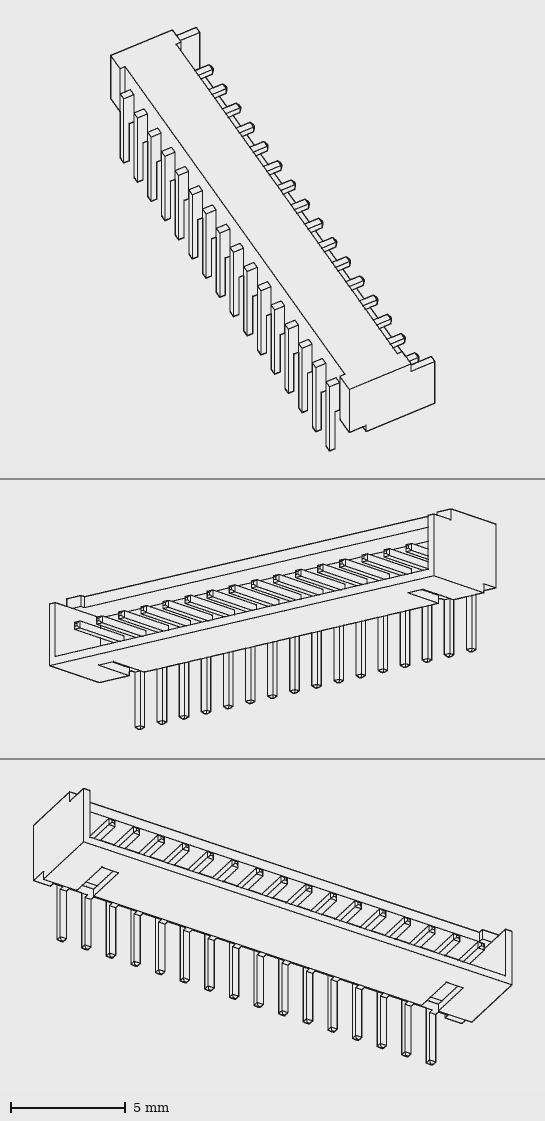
import cadquery as cq


pin_count = 16
pitch = 1.25
pin_width = 0.32
leg_thickness = 0.28
blade_height = 0.32
pin_top_z = 2.25
leg_tip_z = -2.18
tip_chamfer = 0.1

end_margin = 1.5
housing_length = (pin_count - 1) * pitch + 2 * end_margin
housing_depth = 4.25
housing_height = 3.31
overall_depth = 4.5

roof_setback = 1.18
roof_thickness = 0.5
foot_setback = 0.84
foot_height = 0.41

front_recess_depth = 0.25
front_block_width = 0.86
back_recess_depth = 0.25
back_block_width = 0.8

side_wall_thickness = 0.33
front_wall_thickness = 0.9
floor_thickness = 0.36
window_width = 0.85
window_back_setback = 1.3

back_y = overall_depth / 2
leg_front_y = -overall_depth / 2
leg_back_y = leg_front_y + leg_thickness
front_y = back_y - housing_depth
wall_front_y = front_y + front_recess_depth
roof_back_y = back_y - roof_setback
foot_front_y = front_y + foot_setback
blade_center_z = (floor_thickness + housing_height - roof_thickness) / 2
pin_positions = [(i - (pin_count - 1) / 2) * pitch for i in range(pin_count)]


def box_between(x_range, y_range, z_range):
    """Box spanning the given (low, high) ranges."""
    sizes = [high - low for low, high in (x_range, y_range, z_range)]
    corner = (x_range[0], y_range[0], z_range[0])
    return cq.Workplane("XY").box(*sizes, centered=False).translate(corner)


def symmetric(width):
    """Range of the given width centred on zero."""
    return (-width / 2, width / 2)


def make_housing():
    """Stepped side profile extruded along the row, then recessed and hollowed."""
    profile = [
        (foot_front_y, 0),
        (back_y, 0),
        (back_y, housing_height - roof_thickness),
        (roof_back_y, housing_height - roof_thickness),
        (roof_back_y, housing_height),
        (front_y, housing_height),
        (front_y, foot_height),
        (foot_front_y, foot_height),
    ]
    body = cq.Workplane("YZ").polyline(profile).close().extrude(housing_length / 2, both=True)

    front_recess = box_between(
        symmetric(housing_length - 2 * front_block_width),
        (front_y, wall_front_y),
        (0, housing_height),
    )
    back_recess = box_between(
        symmetric(housing_length - 2 * back_block_width),
        (roof_back_y - back_recess_depth, roof_back_y),
        (floor_thickness, housing_height),
    )
    cavity = box_between(
        symmetric(housing_length - 2 * side_wall_thickness),
        (wall_front_y + front_wall_thickness, back_y),
        (floor_thickness, housing_height - roof_thickness),
    )
    return body.cut(front_recess).cut(back_recess).cut(cavity)


def make_floor_window(x_center):
    """Opening through the floor from the front step to short of the open side."""
    return box_between(
        (x_center - window_width / 2, x_center + window_width / 2),
        (foot_front_y, back_y - window_back_setback),
        (0, floor_thickness),
    )


def make_pin(x_center):
    """Contact blade in the cavity, a web through the front wall and a leg pointing down."""
    x_range = (x_center - pin_width / 2, x_center + pin_width / 2)
    blade_z = (blade_center_z - blade_height / 2, blade_center_z + blade_height / 2)
    blade = box_between(x_range, (wall_front_y, back_y), blade_z)
    web = box_between(x_range, (leg_front_y, wall_front_y), (foot_height, pin_top_z))
    leg = box_between(x_range, (leg_front_y, leg_back_y), (leg_tip_z, pin_top_z))
    blade = blade.faces(">Y").chamfer(tip_chamfer)
    leg = leg.faces("<Z").chamfer(tip_chamfer)
    return blade.union(web).union(leg)


result = make_housing()
window_x = (pin_positions[0] + pin_positions[1]) / 2
for x in (window_x, -window_x):
    result = result.cut(make_floor_window(x))
for x in pin_positions:
    result = result.union(make_pin(x))